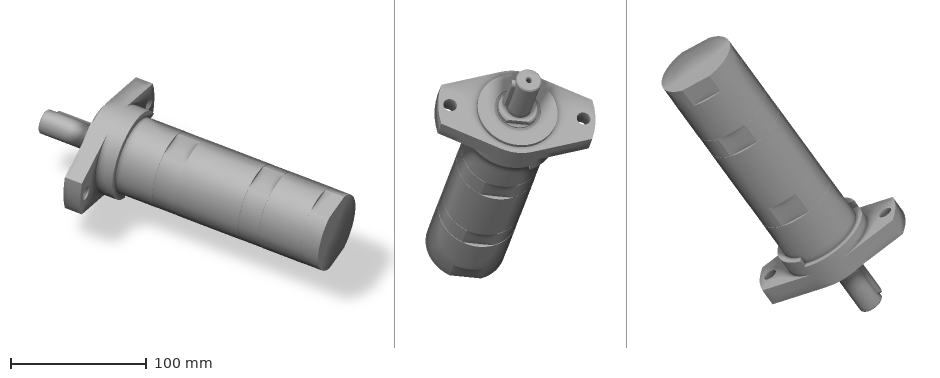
import cadquery as cq
import math

LENGTH = 243.0
SHAFT_NECK_START = 36.0
COLLAR_START = 39.5
PILOT_START = 44.0
PLATE_START = 47.0
PLATE_END = 61.0
HUB_STEP = 69.0
HUB_END = 74.8

SHAFT_DIA = 19.0
SHAFT_NECK_DIA = 18.7
COLLAR_DIA = 30.0
SEAL_DIA = 35.0
BODY_DIA = 60.0
HUB_DIA = 70.0

SHAFT_CHAMFER = 1.0
CENTRE_MOUTH_DIA = 5.5
CENTRE_HOLE_DIA = 4.1
CENTRE_HOLE_DEPTH = 9.7
DRILL_POINT_ANGLE = 118.0

KEY_START = 4.9
KEY_LENGTH = 32.0
KEY_WIDTH = 6.0
KEY_HEIGHT = 6.0
KEY_TOP = 12.0

COLLAR_CHAMFER = 1.2
COLLAR_FLATS = 24.0
SEAL_DEPTH = 1.0

PLATE_SPAN = 118.0
PLATE_TAPER = 20.0
BOLT_OFFSET = 50.0
BOLT_DIA = 10.2

HUB_RELIEF_OFFSET = 14.5

BAND_DIA = 59.8
BAND_FLATS = 55.0
BANDS = [(105.5, 124.0), (176.5, 194.2), (227.7, LENGTH)]

GROOVE_WIDTH = 0.7
GROOVE_DEPTH = 0.2
BODY_GROOVE_STARTS = [BANDS[0][0], BANDS[1][0], BANDS[1][1] - GROOVE_WIDTH]
COLLAR_GROOVE_START = PILOT_START - GROOVE_WIDTH

CUT_MARGIN = 2.5


def section_plane(x):
    """Workplane across the axis, with local X along +Y and local Y along +Z."""
    return cq.Workplane("YZ", origin=(x, 0, 0))


def cylinder(diameter, start, end):
    return section_plane(start).circle(diameter / 2).extrude(end - start)


def cone(start_dia, end_dia, start, length):
    solid = cq.Solid.makeCone(
        start_dia / 2, end_dia / 2, length, cq.Vector(start, 0, 0), cq.Vector(1, 0, 0)
    )
    return cq.Workplane(solid)


def ring_cutter(inner_dia, outer_dia, start, end):
    """Tube that trims a section of outer_dia down to inner_dia."""
    outer_radius = outer_dia / 2 + CUT_MARGIN
    return section_plane(start).circle(outer_radius).circle(inner_dia / 2).extrude(end - start)


def groove_cutter(diameter, start):
    return ring_cutter(diameter - 2 * GROOVE_DEPTH, diameter, start, start + GROOVE_WIDTH)


def flats_cutter(across, diameter, start, end):
    """Material outside a pair of flat faces normal to Z."""
    size = diameter + 2 * CUT_MARGIN
    slabs = section_plane(start).rect(size, size).extrude(end - start)
    return slabs.cut(section_plane(start).rect(size, across).extrude(end - start))


def make_body():
    body = cylinder(BODY_DIA, PILOT_START, LENGTH)
    for start, end in BANDS:
        body = body.cut(ring_cutter(BAND_DIA, BODY_DIA, start, end))
        body = body.cut(flats_cutter(BAND_FLATS, BODY_DIA, start, end))
    for start in BODY_GROOVE_STARTS:
        body = body.cut(groove_cutter(BAND_DIA, start))
    return body.cut(cylinder(SEAL_DIA, PILOT_START, PILOT_START + SEAL_DEPTH))


def make_plate():
    """Round centre with straight sides running tangent from it to the rounded ends."""
    radius = HUB_DIA / 2
    taper = math.radians(PLATE_TAPER)
    tangent_y = radius * math.sin(taper)
    tangent_z = radius * math.cos(taper)
    apex_y = radius / math.sin(taper)
    thickness = PLATE_END - PLATE_START

    wings = (
        section_plane(PLATE_START)
        .moveTo(apex_y, 0)
        .lineTo(tangent_y, tangent_z)
        .threePointArc((0, radius), (-tangent_y, tangent_z))
        .lineTo(-apex_y, 0)
        .lineTo(-tangent_y, -tangent_z)
        .threePointArc((0, -radius), (tangent_y, -tangent_z))
        .close()
        .extrude(thickness)
    )
    plate = wings.intersect(cylinder(PLATE_SPAN, PLATE_START, PLATE_END))
    bolt_holes = (
        section_plane(PLATE_START)
        .pushPoints([(-BOLT_OFFSET, 0), (BOLT_OFFSET, 0)])
        .circle(BOLT_DIA / 2)
        .extrude(thickness)
    )
    return plate.cut(bolt_holes)


def make_hub():
    hub = cylinder(HUB_DIA, PLATE_END, HUB_END)
    relief = (
        cq.Workplane("XY")
        .box(HUB_END - HUB_STEP, HUB_DIA, HUB_DIA, centered=False)
        .translate((HUB_STEP, -HUB_RELIEF_OFFSET, HUB_RELIEF_OFFSET - HUB_DIA))
    )
    return hub.cut(relief)


def make_collar():
    collar = cylinder(COLLAR_DIA, COLLAR_START, PILOT_START + SEAL_DEPTH)
    collar = collar.faces("<X").chamfer(COLLAR_CHAMFER)
    collar = collar.cut(flats_cutter(COLLAR_FLATS, COLLAR_DIA, COLLAR_START, PILOT_START))
    return collar.cut(groove_cutter(COLLAR_DIA, COLLAR_GROOVE_START))


def make_centre_hole():
    """Countersunk blind hole with a drill-point bottom."""
    mouth_depth = (CENTRE_MOUTH_DIA - CENTRE_HOLE_DIA) / 2
    point_depth = CENTRE_HOLE_DIA / 2 / math.tan(math.radians(DRILL_POINT_ANGLE / 2))
    hole = cylinder(CENTRE_HOLE_DIA, 0, CENTRE_HOLE_DEPTH)
    hole = hole.union(cone(CENTRE_HOLE_DIA, 0, CENTRE_HOLE_DEPTH, point_depth))
    return hole.union(cone(CENTRE_MOUTH_DIA, CENTRE_HOLE_DIA, 0, mouth_depth))


def make_key():
    return (
        cq.Workplane("XZ", origin=(KEY_START + KEY_LENGTH / 2, KEY_TOP, 0))
        .slot2D(KEY_LENGTH, KEY_WIDTH)
        .extrude(KEY_HEIGHT)
    )


def make_shaft():
    shaft = cylinder(SHAFT_DIA, 0, SHAFT_NECK_START).faces("<X").chamfer(SHAFT_CHAMFER)
    shaft = shaft.union(cylinder(SHAFT_NECK_DIA, SHAFT_NECK_START, COLLAR_START))
    return shaft.union(make_key()).cut(make_centre_hole())


result = (
    make_body()
    .union(make_plate())
    .union(make_hub())
    .union(make_collar())
    .union(make_shaft())
)